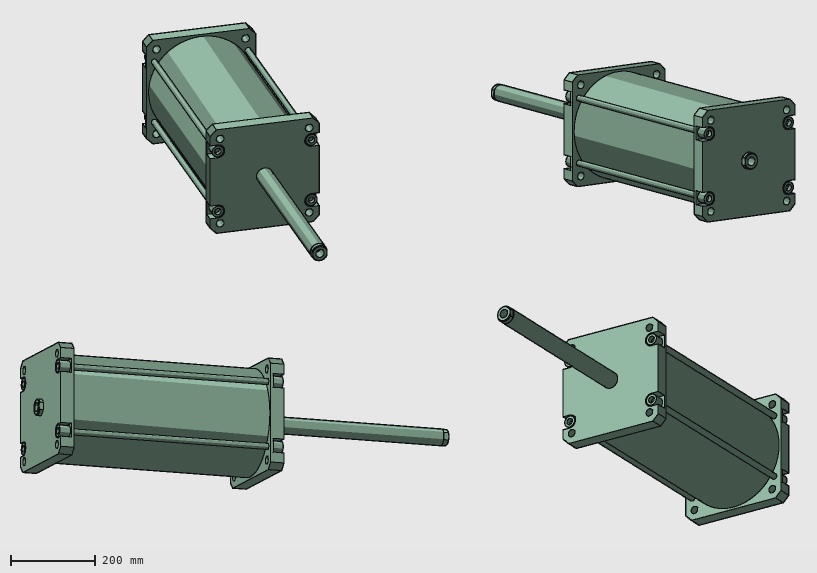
import cadquery as cq
import math

TOTAL_LENGTH = 1040.0
STUB_LENGTH = 10.0
PLATE_THICKNESS = 34.0
BARREL_LENGTH = 498.0
REAR_FACE_X = STUB_LENGTH
BARREL_START_X = REAR_FACE_X + PLATE_THICKNESS
BARREL_END_X = BARREL_START_X + BARREL_LENGTH
FRONT_FACE_X = BARREL_END_X + PLATE_THICKNESS

PLATE_SIDE = 270.0
CORNER_CHAMFER = 16.0
MOUNT_HOLE_SPACING = 220.0
MOUNT_HOLE_DIAMETER = 19.0

BARREL_DIAMETER = 260.0

TIE_SPACING_Y = 232.0
TIE_SPACING_Z = 157.0
TIE_DIAMETER = 15.0
HEAD_DIAMETER = 28.0
HEAD_LENGTH = 27.0
SOCKET_DIAMETER = 16.0
SOCKET_DEPTH = 12.0
POCKET_WIDTH = 33.0

ROD_DIAMETER = 41.0
NECK_DIAMETER = 40.0
NECK_LENGTH = 14.0
FLATS_WIDTH = 35.0
END_CHAMFER = 2.0
ROD_HOLE_DIAMETER = 21.0
ROD_HOLE_DEPTH = 31.0
DRILL_POINT_LENGTH = 6.0

TIE_POSITIONS = [
    (side_y * TIE_SPACING_Y / 2, side_z * TIE_SPACING_Z / 2)
    for side_y in (-1, 1)
    for side_z in (-1, 1)
]


def cylinder_x(diameter, start, end, y=0.0, z=0.0):
    """Cylinder along X between two X positions."""
    return (
        cq.Workplane("YZ", origin=(start, 0, 0))
        .center(y, z)
        .circle(diameter / 2)
        .extrude(end - start)
    )


def box_x(start, end, width_y, width_z, y=0.0, z=0.0):
    """Box between two X positions, centred on the given Y and Z."""
    return (
        cq.Workplane("YZ", origin=(start, 0, 0))
        .center(y, z)
        .rect(width_y, width_z)
        .extrude(end - start)
    )


def head_pocket(start, end, y, z):
    """Pocket with a rounded inner end for a tie rod head, open through the nearest Y side."""
    outer_y = math.copysign(PLATE_SIDE / 2, y)
    pocket = cylinder_x(POCKET_WIDTH, start, end, y, z)
    opening = box_x(start, end, abs(outer_y - y), POCKET_WIDTH, (outer_y + y) / 2, z)
    return pocket.union(opening)


def make_plate(start, pocket_start):
    """Square end plate whose head pockets begin at pocket_start."""
    end = start + PLATE_THICKNESS
    plate = box_x(start, end, PLATE_SIDE, PLATE_SIDE).edges("|X").chamfer(CORNER_CHAMFER)
    mount_holes = (
        cq.Workplane("YZ", origin=(start, 0, 0))
        .rect(MOUNT_HOLE_SPACING, MOUNT_HOLE_SPACING, forConstruction=True)
        .vertices()
        .circle(MOUNT_HOLE_DIAMETER / 2)
        .extrude(PLATE_THICKNESS)
    )
    plate = plate.cut(mount_holes).cut(cylinder_x(ROD_DIAMETER, start, end))
    for y, z in TIE_POSITIONS:
        plate = plate.cut(cylinder_x(TIE_DIAMETER, start, end, y, z))
        plate = plate.cut(head_pocket(pocket_start, pocket_start + HEAD_LENGTH, y, z))
    return plate


def make_barrel():
    """Barrel between the plates, bored to fit the piston rod."""
    outside = cylinder_x(BARREL_DIAMETER, BARREL_START_X, BARREL_END_X)
    bore = cylinder_x(ROD_DIAMETER, BARREL_START_X, BARREL_END_X)
    return outside.cut(bore)


def make_head(y, z):
    """Rear tie rod head with a round socket in its outer face."""
    head = cylinder_x(HEAD_DIAMETER, REAR_FACE_X, REAR_FACE_X + HEAD_LENGTH, y, z)
    return head.cut(cylinder_x(SOCKET_DIAMETER, REAR_FACE_X, REAR_FACE_X + SOCKET_DEPTH, y, z))


def make_tie_rod(y, z):
    """Tie rod through both plates with a socketed head flush with each outer face."""
    middle_x = (REAR_FACE_X + FRONT_FACE_X) / 2
    shank = cylinder_x(TIE_DIAMETER, REAR_FACE_X + HEAD_LENGTH, FRONT_FACE_X - HEAD_LENGTH, y, z)
    rear_head = make_head(y, z)
    front_head = rear_head.mirror("YZ", (middle_x, 0, 0))
    return shank.union(rear_head).union(front_head)


def drilled_hole():
    """Blind hole with a conical bottom, entering the rod from X = 0."""
    radius = ROD_HOLE_DIAMETER / 2
    return (
        cq.Workplane("XY")
        .moveTo(0, 0)
        .lineTo(0, radius)
        .lineTo(ROD_HOLE_DEPTH, radius)
        .lineTo(ROD_HOLE_DEPTH + DRILL_POINT_LENGTH, 0)
        .close()
        .revolve(360, (0, 0, 0), (1, 0, 0))
    )


def make_piston_rod():
    """Through rod; each end has a chamfered neck with two flats and a blind hole."""
    necks = cylinder_x(NECK_DIAMETER, 0, TOTAL_LENGTH).faces("<X or >X").chamfer(END_CHAMFER)
    flatted_necks = necks.intersect(box_x(0, TOTAL_LENGTH, FLATS_WIDTH, NECK_DIAMETER))
    rod = flatted_necks.union(cylinder_x(ROD_DIAMETER, NECK_LENGTH, TOTAL_LENGTH - NECK_LENGTH))
    near_hole = drilled_hole()
    far_hole = near_hole.mirror("YZ", (TOTAL_LENGTH / 2, 0, 0))
    return rod.cut(near_hole).cut(far_hole)


rear_plate = make_plate(REAR_FACE_X, REAR_FACE_X)
front_plate = make_plate(BARREL_END_X, FRONT_FACE_X - HEAD_LENGTH)
barrel = make_barrel()
tie_rods = [make_tie_rod(y, z) for y, z in TIE_POSITIONS]
piston_rod = make_piston_rod()

result = cq.Compound.makeCompound(
    [
        rear_plate.val(),
        front_plate.val(),
        barrel.val(),
        piston_rod.val(),
        *[tie_rod.val() for tie_rod in tie_rods],
    ]
)